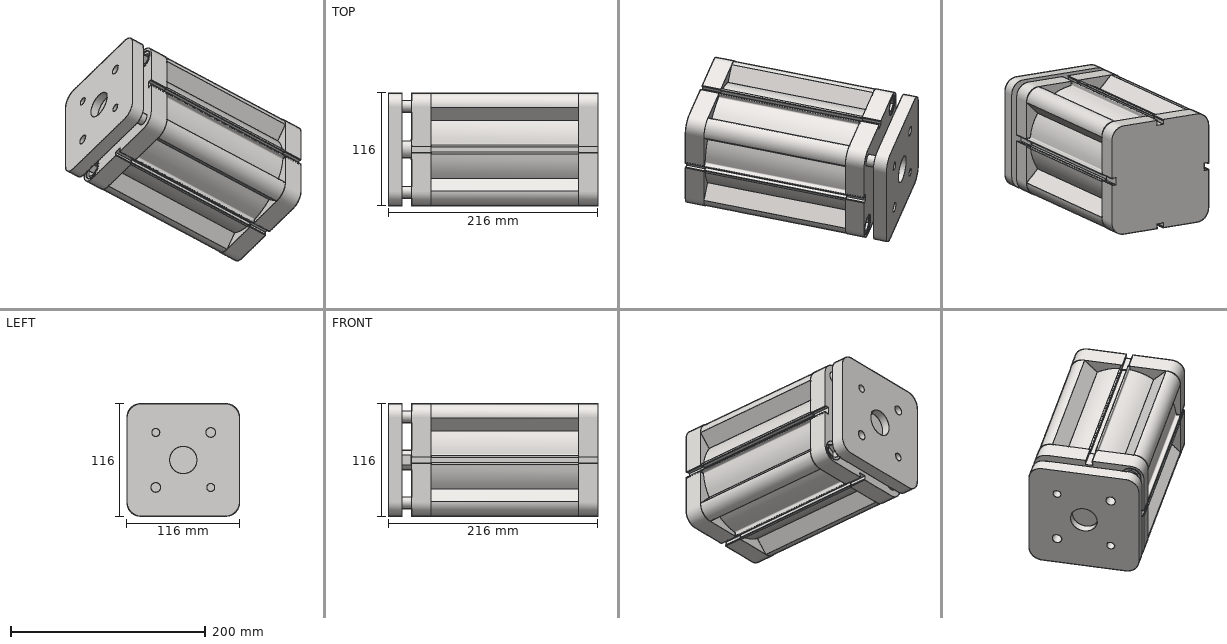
import cadquery as cq
import math

total_length = 216.0
side = 116.0
half_side = side / 2

plate_thickness = 14.0
corner_radius = 14.0
pocket_diameter = 28.0
pocket_depth = 8.9
plate_hole_offset = 28.3
small_hole_diameter = 8.2
large_hole_diameter = 10.0

plate_gap = 10.0
cap_length = 20.0
cap_start = plate_thickness + plate_gap
barrel_start = cap_start + cap_length
barrel_length = total_length - barrel_start - cap_length
barrel_corner_radius = 15.1
barrel_wall_radius = 53.8
groove_half_width = 43.0
groove_wall_angle = 45.0

cap_slot_width = 6.5
barrel_slot_width = 5.2
cap_channel_width = 7.8
barrel_channel_width = 7.0
slot_lip_height = 1.3
cap_slot_depth = 5.2
barrel_slot_depth = 6.5
rail_thickness = 2.2
rail_root_radius = 1.3
rail_top_radius = 0.6

corner_offset = 44.3
screw_recess_diameter = 21.0
screw_recess_depth = 1.0
screw_socket_flats = 13.8
screw_socket_depth = 6.5

guide_rod_diameter = 12.3
piston_rod_diameter = 20.5
rod_flat_width = 17.5
rod_flat_clearance = 0.9
rod_insertion = cap_length

rod_corners = [(1, 1), (-1, -1)]
screw_corners = [(-1, 1), (1, -1)]


def at(x):
    """Workplane facing +X at station x; its local axes are Y and Z."""
    return cq.Workplane("YZ", origin=(x, 0, 0))


def places(corners, offset):
    """Centres at the same distance from both mid-planes, one per corner."""
    return [(y * offset, z * offset) for y, z in corners]


def rounded_block(x, length, radius):
    return at(x).rect(side, side).extrude(length).edges("|X").fillet(radius)


def around_axis(shape):
    """Four copies of a shape, one for each long side."""
    return [shape.rotate((0, 0, 0), (1, 0, 0), 90 * turn) for turn in range(4)]


def make_plate():
    """Rounded square plate with a blind centre pocket and four through holes."""
    plate = rounded_block(0, plate_thickness, corner_radius)
    pocket = at(0).circle(pocket_diameter / 2).extrude(pocket_depth)
    small_holes = (
        at(0)
        .pushPoints(places(rod_corners, plate_hole_offset))
        .circle(small_hole_diameter / 2)
        .extrude(plate_thickness)
    )
    large_holes = (
        at(0)
        .pushPoints(places(screw_corners, plate_hole_offset))
        .circle(large_hole_diameter / 2)
        .extrude(plate_thickness)
    )
    return plate.cut(pocket).cut(small_holes).cut(large_holes)


def make_rail():
    """One side rail of the top slot: rounded top edges and a root fillet onto the barrel wall."""
    inner = barrel_slot_width / 2
    outer = inner + rail_thickness
    root = outer + rail_root_radius
    root_z = math.sqrt(barrel_wall_radius**2 - root**2)
    buried_z = root_z - rail_root_radius
    return (
        at(barrel_start)
        .moveTo(inner, buried_z)
        .lineTo(inner, half_side - rail_top_radius)
        .radiusArc((inner + rail_top_radius, half_side), rail_top_radius)
        .lineTo(outer - rail_top_radius, half_side)
        .radiusArc((outer, half_side - rail_top_radius), rail_top_radius)
        .lineTo(outer, root_z + rail_root_radius)
        .radiusArc((root, root_z), -rail_root_radius)
        .lineTo(root, buried_z)
        .close()
        .extrude(barrel_length)
    )


def make_side_groove():
    """Wide trough along the top side, with sloping walls and the round barrel wall as its floor."""
    trough_bottom = half_side / 2
    taper = math.tan(math.radians(groove_wall_angle))
    bottom_half_width = groove_half_width - (half_side - trough_bottom) * taper
    trough = (
        at(barrel_start)
        .polyline([
            (-groove_half_width, half_side),
            (-bottom_half_width, trough_bottom),
            (bottom_half_width, trough_bottom),
            (groove_half_width, half_side),
        ])
        .close()
        .extrude(barrel_length)
    )
    wall = at(barrel_start).circle(barrel_wall_radius).extrude(barrel_length)
    return trough.cut(wall)


def make_slot(x, length, mouth_width, channel_width, depth):
    """T-slot in the top side: a narrow mouth between two lips and a wider channel below them."""
    bottom = half_side - depth
    channel_top = half_side - slot_lip_height
    mouth = at(x).center(0, (half_side + bottom) / 2).rect(mouth_width, depth).extrude(length)
    channel = (
        at(x)
        .center(0, (channel_top + bottom) / 2)
        .rect(channel_width, channel_top - bottom)
        .extrude(length)
    )
    return mouth.union(channel)


def make_barrel():
    barrel = rounded_block(barrel_start, barrel_length, barrel_corner_radius)
    for groove in around_axis(make_side_groove()):
        barrel = barrel.cut(groove)
    rail = make_rail()
    for side_rail in around_axis(rail) + around_axis(rail.mirror("XZ")):
        barrel = barrel.union(side_rail)
    slot = make_slot(barrel_start, barrel_length, barrel_slot_width, barrel_channel_width, barrel_slot_depth)
    for side_slot in around_axis(slot):
        barrel = barrel.cut(side_slot)
    return barrel


def make_cap(x):
    cap = rounded_block(x, cap_length, corner_radius)
    for slot in around_axis(make_slot(x, cap_length, cap_slot_width, cap_channel_width, cap_slot_depth)):
        cap = cap.cut(slot)
    return cap


def cut_screw_sockets(housing):
    centers = places(screw_corners, corner_offset)
    recess = at(cap_start).pushPoints(centers).circle(screw_recess_diameter / 2).extrude(screw_recess_depth)
    housing = housing.cut(recess)
    across_corners = screw_socket_flats / math.cos(math.pi / 6)
    for y, z in centers:
        socket = (
            at(cap_start)
            .center(y, z)
            .transformed(rotate=(0, 0, 90))
            .polygon(6, across_corners)
            .extrude(screw_recess_depth + screw_socket_depth)
        )
        housing = housing.cut(socket)
    return housing


def make_housing():
    """Barrel and both end caps in one piece, with blind bores for the rods in the front cap."""
    housing = make_barrel()
    for x in (cap_start, total_length - cap_length):
        housing = housing.union(make_cap(x))
    housing = cut_screw_sockets(housing)
    rod_bores = (
        at(cap_start)
        .pushPoints(places(rod_corners, corner_offset))
        .circle(guide_rod_diameter / 2)
        .extrude(rod_insertion)
    )
    piston_bore = at(cap_start).circle(piston_rod_diameter / 2).extrude(rod_insertion)
    return housing.cut(rod_bores).cut(piston_bore)


def make_guide_rod(y, z):
    return at(plate_thickness).center(y, z).circle(guide_rod_diameter / 2).extrude(plate_gap + rod_insertion)


def make_piston_rod():
    """Round rod with two wrench flats facing -Y and +Y, next to the plate."""
    rod = at(plate_thickness).circle(piston_rod_diameter / 2).extrude(plate_gap + rod_insertion)
    flat_length = plate_gap - rod_flat_clearance
    flats = (
        at(plate_thickness)
        .rect(piston_rod_diameter, piston_rod_diameter)
        .rect(rod_flat_width, piston_rod_diameter)
        .extrude(flat_length)
    )
    return rod.cut(flats)


plate = make_plate()
housing = make_housing()
piston_rod = make_piston_rod()
guide_rods = [make_guide_rod(y, z) for y, z in places(rod_corners, corner_offset)]

result = cq.Compound.makeCompound(
    [plate.val(), housing.val(), piston_rod.val(), *[rod.val() for rod in guide_rods]]
)